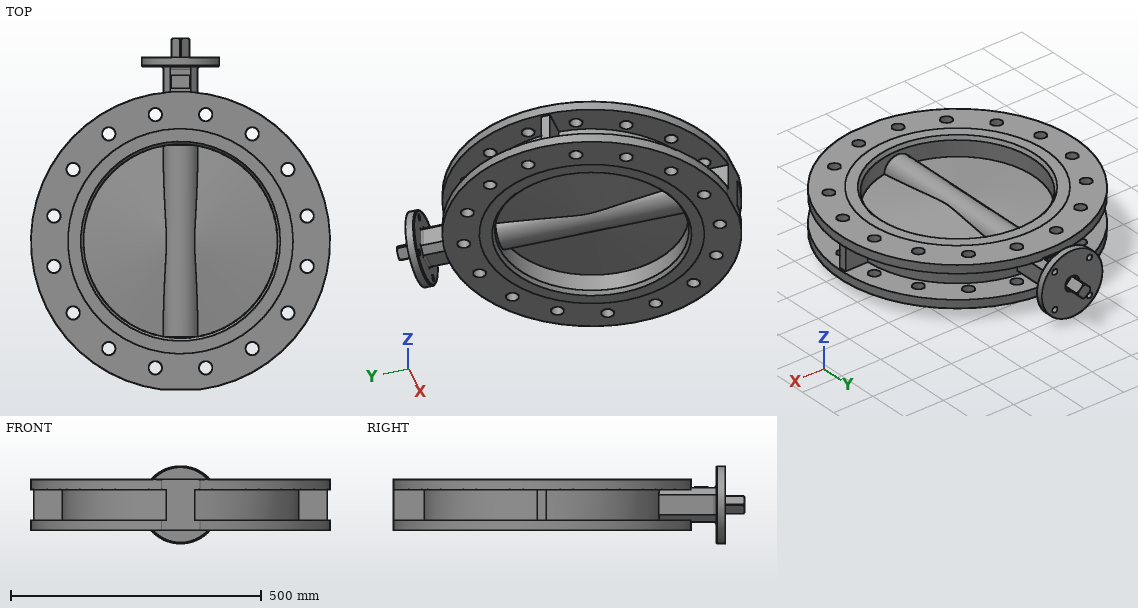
import cadquery as cq
import math


body_height = 102.0
flange_dia = 597.0
groove_height = 61.0
core_dia = 472.0
bottom_flat_y = -296.0
bottom_rib_width = 56.5
side_rib_reach = 293.0
side_rib_width = 18.0

bolt_count = 16
bolt_circle_dia = 515.0
bolt_hole_dia = 26.0

liner_outer_dia = 449.0
bore_dia = 387.0
mouth_dia = 398.0
mouth_depth = 9.0

rim_half_height = 3.0
cone_apex_height = 24.0
hub_dia = 70.0
hub_length = 382.0

neck_width = 68.5
neck_face_width = 40.0
neck_fillet = 4.5
pad_dia = 155.0
pad_back_y = 348.0
pad_thickness = 18.5
pad_chamfer = 2.5
pad_hole_count = 4
pad_bolt_circle_dia = 125.0
pad_hole_dia = 13.0

stem_dia = 36.0
stem_inner_y = 90.0
stem_tip_y = 405.0
square_side = 27.0
tip_chamfer = 3.0

plate_width = 36.0
plate_length = 26.0
plate_thickness = 1.5
plate_centre_y = 318.0

pad_front_y = pad_back_y + pad_thickness
neck_half = neck_width / 2
half_height = body_height / 2


def disk_z(dia, height):
    """Cylinder on the flow axis, centred on the mid plane."""
    return cq.Workplane("XY").circle(dia / 2).extrude(height / 2, both=True)


def bar_y(radius, start_y, end_y):
    """Cylinder on the stem axis between two Y positions."""
    return along_y(start_y).circle(radius).extrude(end_y - start_y)


def along_y(start_y):
    """Workplane facing +Y, with local X along -X and local Y along +Z."""
    return cq.Workplane(cq.Plane(origin=(0, start_y, 0), xDir=(-1, 0, 0), normal=(0, 1, 0)))


def make_ring():
    """Two flanges joined by a core, with ribs bridging the groove between them."""
    groove = disk_z(flange_dia, groove_height).cut(disk_z(core_dia, groove_height))
    ring = disk_z(flange_dia, body_height).cut(groove)
    side_ribs = cq.Workplane("XY").box(2 * side_rib_reach, side_rib_width, groove_height)
    bottom_rib = cq.Workplane("XY").box(
        bottom_rib_width, flange_dia / 2, groove_height
    ).translate((0, -flange_dia / 4, 0))
    ring = ring.union(side_ribs).union(bottom_rib)
    below_flat = cq.Workplane("XY").box(
        flange_dia, flange_dia, body_height, centered=(True, False, True)
    ).translate((0, bottom_flat_y - flange_dia, 0))
    bolt_holes = cq.Workplane("XY").polarArray(
        bolt_circle_dia / 2, 180 / bolt_count, 360, bolt_count
    ).circle(bolt_hole_dia / 2).extrude(half_height, both=True)
    return ring.cut(below_flat).cut(bolt_holes)


def make_neck():
    """Square neck with bevelled corners, its four faces blended into the pad."""
    bevel = (neck_width - neck_face_width) / 2
    neck = along_y(0).rect(neck_width, neck_width).extrude(pad_back_y).edges("|Y").chamfer(bevel)
    middle = neck_fillet * (1 - math.sqrt(0.5))
    fillet = (
        cq.Workplane("XY")
        .moveTo(neck_half, pad_back_y - neck_fillet)
        .threePointArc(
            (neck_half + middle, pad_back_y - middle),
            (neck_half + neck_fillet, pad_back_y),
        )
        .lineTo(neck_half, pad_back_y)
        .close()
        .extrude(neck_face_width / 2, both=True)
    )
    for quarter in range(4):
        neck = neck.union(fillet.rotate((0, 0, 0), (0, 1, 0), 90 * quarter))
    return neck


def make_pad():
    """Round mounting pad with four bolt holes on the diagonals."""
    pad = bar_y(pad_dia / 2, pad_back_y, pad_front_y).faces("<Y").chamfer(pad_chamfer)
    holes = along_y(pad_back_y).polarArray(
        pad_bolt_circle_dia / 2, 180 / pad_hole_count, 360, pad_hole_count
    ).circle(pad_hole_dia / 2).extrude(pad_thickness)
    return pad.cut(holes)


def make_housing():
    housing = make_ring().union(make_neck()).union(make_pad())
    liner_seat = disk_z(liner_outer_dia, body_height)
    stem_bore = bar_y(stem_dia / 2, 0, pad_front_y)
    return housing.cut(liner_seat).cut(stem_bore)


def make_liner():
    """Sleeve with a flared mouth at each end and a stem hole on the +Y side."""
    straight_z = half_height - mouth_depth
    profile = [
        (liner_outer_dia / 2, -half_height),
        (liner_outer_dia / 2, half_height),
        (mouth_dia / 2, half_height),
        (bore_dia / 2, straight_z),
        (bore_dia / 2, -straight_z),
        (mouth_dia / 2, -half_height),
    ]
    sleeve = cq.Workplane("XZ").polyline(profile).close().revolve(360, (0, 0), (0, 1))
    return sleeve.cut(bar_y(stem_dia / 2, 0, liner_outer_dia / 2))


def make_disc():
    """Double cone with a cylindrical hub across it, clipped to the bore."""
    profile = [
        (0, -cone_apex_height),
        (bore_dia / 2, -rim_half_height),
        (bore_dia / 2, rim_half_height),
        (0, cone_apex_height),
    ]
    cones = cq.Workplane("XZ").polyline(profile).close().revolve(360, (0, 0), (0, 1))
    hub = bar_y(hub_dia / 2, -hub_length / 2, hub_length / 2)
    hub = hub.intersect(disk_z(bore_dia, hub_dia))
    return cones.union(hub).cut(bar_y(stem_dia / 2, stem_inner_y, bore_dia / 2))


def make_stem():
    """Round stem ending in a square drive set on its corner, with rounded corners."""
    shaft = bar_y(stem_dia / 2, stem_inner_y, pad_front_y)
    drive = bar_y(stem_dia / 2, pad_front_y, stem_tip_y).faces(">Y").chamfer(tip_chamfer)
    square = (
        along_y(pad_front_y)
        .transformed(rotate=(0, 0, 45))
        .rect(square_side, square_side)
        .extrude(stem_tip_y - pad_front_y)
    )
    return shaft.union(drive.intersect(square))


def make_name_plate():
    return (
        cq.Workplane("XY", origin=(0, plate_centre_y, neck_half))
        .rect(plate_width, plate_length)
        .extrude(plate_thickness)
    )


housing = make_housing()
liner = make_liner()
disc = make_disc()
stem = make_stem()
name_plate = make_name_plate()

bodies = [housing, liner, disc, stem, name_plate]
result = cq.Compound.makeCompound([body.solids().val() for body in bodies])